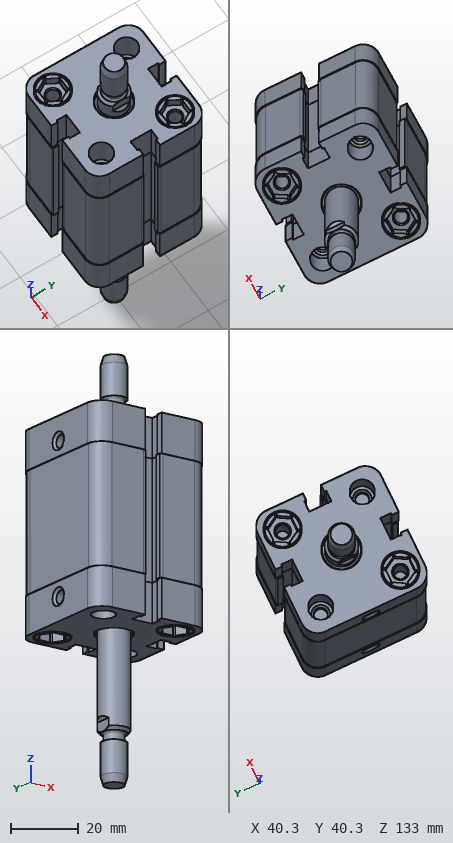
import cadquery as cq
import math

housing_length = 64.0
cap_length = 12.7
tube_length = housing_length - 2 * cap_length
housing_middle = housing_length / 2

cap_width = 40.3
cap_corner_radius = 5.2
tube_width = 39.8
tube_corner_radius = cap_corner_radius - (cap_width - tube_width) / 2

slot_floor = 14.4
slot_width = 7.2
slot_lip_inner_face = 17.9
cap_slot_mouth = 5.9
tube_slot_mouth = 5.0
tube_slot_flare = 6.9
slot_flare_depth = 0.2
slot_directions = (0, 90, -90)

screw_offset = 13.0
head_groove_outer_diameter = 11.4
head_groove_inner_diameter = 10.48
head_groove_depth = 0.5
socket_across_flats = 7.8
socket_depth = 3.0
socket_relief_diameter = 0.7
mounting_hole_diameter = 7.5
mounting_hole_depth = 10.0
thread_core_diameter = 4.13
screw_thread_mouth_diameter = 5.0
mounting_thread_mouth_diameter = 5.5

port_distance = 7.8
port_mouth_diameter = 5.8
port_depth = 8.0

rod_diameter = 10.0
stroke = 25.0
rod_projection = 22.0
shoulder_height = 6.0
shoulder_top_diameter = 8.0
shoulder_chamfer_height = 1.0
undercut_length = 2.9
undercut_diameter = 6.4
undercut_fillet = 0.4
thread_diameter = 8.0
thread_tip_diameter = 6.4
thread_tip_height = 2.7
flat_across = 8.0
flat_length = 3.5
rod_opening_diameter = 12.0
rod_opening_depth = 1.0
rod_opening_chamfer = 0.3


def slot_cutter(outer_width, mouth_width, flare_width, length):
    """T-slot profile on the +X side, extruded upwards from Z = 0."""
    edge = outer_width / 2
    half_slot = slot_width / 2
    half_mouth = mouth_width / 2
    half_flare = flare_width / 2
    upper = [
        (slot_floor, half_slot),
        (slot_lip_inner_face, half_slot),
        (slot_lip_inner_face, half_mouth),
    ]
    if flare_width > mouth_width:
        upper.append((edge - slot_flare_depth, half_mouth))
    upper.append((edge, half_flare))
    lower = [(x, -y) for x, y in reversed(upper)]
    return cq.Workplane("XY").polyline(upper + lower).close().extrude(length)


def slotted_block(width, corner_radius, length, mouth_width, flare_width):
    """Square block with round corners, T-slots on three sides and the rod bore."""
    block = cq.Workplane("XY").rect(width, width).extrude(length)
    block = block.edges("|Z").fillet(corner_radius)
    cutter = slot_cutter(width, mouth_width, flare_width, length)
    for direction in slot_directions:
        block = block.cut(cutter.rotate((0, 0, 0), (0, 0, 1), direction))
    return block.cut(cq.Workplane("XY").circle(rod_diameter / 2).extrude(length))


def conical_mouth_hole(mouth_diameter, core_diameter, depth):
    """Cutter for a blind hole with a 45 degree mouth, going down from Z = 0."""
    mouth = mouth_diameter / 2
    core = core_diameter / 2
    profile = [(0, 0), (mouth, 0), (core, core - mouth), (core, -depth), (0, -depth)]
    return cq.Workplane("XZ").polyline(profile).close().revolve(360, (0, 0), (0, 1))


def make_cap():
    """End cap standing on Z = 0, with its outer face on top."""
    cap = slotted_block(cap_width, cap_corner_radius, cap_length, cap_slot_mouth, cap_slot_mouth)
    top = cq.Workplane("XY").workplane(offset=cap_length)

    groove = top.circle(head_groove_outer_diameter / 2).circle(head_groove_inner_diameter / 2)
    groove = groove.extrude(-head_groove_depth)
    socket_across_corners = socket_across_flats / math.cos(math.pi / 6)
    socket = top.polygon(6, socket_across_corners).extrude(-socket_depth)
    reliefs = top.polarArray(socket_across_corners / 2, 0, 360, 6).circle(socket_relief_diameter / 2)
    socket = socket.union(reliefs.extrude(-socket_depth))
    socket_floor = cap_length - socket_depth
    screw_thread = conical_mouth_hole(screw_thread_mouth_diameter, thread_core_diameter, socket_floor)
    screw_head = groove.union(socket).union(screw_thread.translate((0, 0, socket_floor)))

    mounting_hole = top.circle(mounting_hole_diameter / 2).extrude(-mounting_hole_depth)
    hole_floor = cap_length - mounting_hole_depth
    mounting_thread = conical_mouth_hole(mounting_thread_mouth_diameter, thread_core_diameter, hole_floor)
    mounting_hole = mounting_hole.union(mounting_thread.translate((0, 0, hole_floor)))

    for side in (-1, 1):
        cap = cap.cut(screw_head.translate((side * screw_offset, side * screw_offset, 0)))
        cap = cap.cut(mounting_hole.translate((side * screw_offset, -side * screw_offset, 0)))

    port = conical_mouth_hole(port_mouth_diameter, thread_core_diameter, port_depth)
    port = port.rotate((0, 0, 0), (0, 1, 0), -90)
    cap = cap.cut(port.translate((-cap_width / 2, 0, cap_length - port_distance)))

    opening_bottom = cap_length - rod_opening_depth
    opening = cq.Workplane("XY").workplane(offset=opening_bottom).circle(rod_opening_diameter / 2)
    opening = opening.extrude(rod_opening_depth).faces("<Z").chamfer(rod_opening_chamfer)
    return cap.cut(opening)


def make_rod_end():
    """Rod half from the housing middle to the thread tip; profile heights start at the cap face."""
    undercut_top = shoulder_height + undercut_length
    profile = [
        (0, -housing_middle),
        (rod_diameter / 2, -housing_middle),
        (rod_diameter / 2, shoulder_height - shoulder_chamfer_height),
        (shoulder_top_diameter / 2, shoulder_height),
        (undercut_diameter / 2, shoulder_height),
        (undercut_diameter / 2, undercut_top),
        (thread_diameter / 2, undercut_top),
        (thread_diameter / 2, rod_projection - thread_tip_height),
        (thread_tip_diameter / 2, rod_projection),
        (0, rod_projection),
    ]
    end = cq.Workplane("YZ").polyline(profile).close().revolve(360, (0, 0), (0, 1))

    margin = 0.1
    root = undercut_diameter / 2 + margin
    roots = cq.selectors.BoxSelector(
        (-root, -root, shoulder_height - margin),
        (root, root, undercut_top + margin),
        boundingbox=True,
    )
    end = end.edges(roots).edges("%CIRCLE").fillet(undercut_fillet)

    flat = flat_across / 2
    depth = rod_diameter / 2 - flat
    flat_bottom = shoulder_height - flat_length
    notch = [
        (flat, shoulder_height),
        (flat, flat_bottom),
        (flat + depth, flat_bottom - depth),
        (flat + depth, shoulder_height),
    ]
    cutter = cq.Workplane("XZ").polyline(notch).close().extrude(rod_diameter / 2, both=True)
    return end.cut(cutter).cut(cutter.mirror("YZ")).translate((0, 0, housing_length))


def flip(body):
    """Turn a body upside down about the middle of the housing."""
    return body.rotate((0, 0, housing_middle), (1, 0, housing_middle), 180)


tube = slotted_block(tube_width, tube_corner_radius, tube_length, tube_slot_mouth, tube_slot_flare)
tube = tube.translate((0, 0, cap_length))

upper_cap = make_cap().translate((0, 0, housing_length - cap_length))
lower_cap = flip(upper_cap)

upper_rod_end = make_rod_end()
extension = cq.Workplane("XY").workplane(offset=housing_middle).circle(rod_diameter / 2).extrude(-stroke)
rod = upper_rod_end.union(extension).union(flip(upper_rod_end).translate((0, 0, -stroke)))

result = cq.Compound.makeCompound([upper_cap.val(), tube.val(), lower_cap.val(), rod.val()])